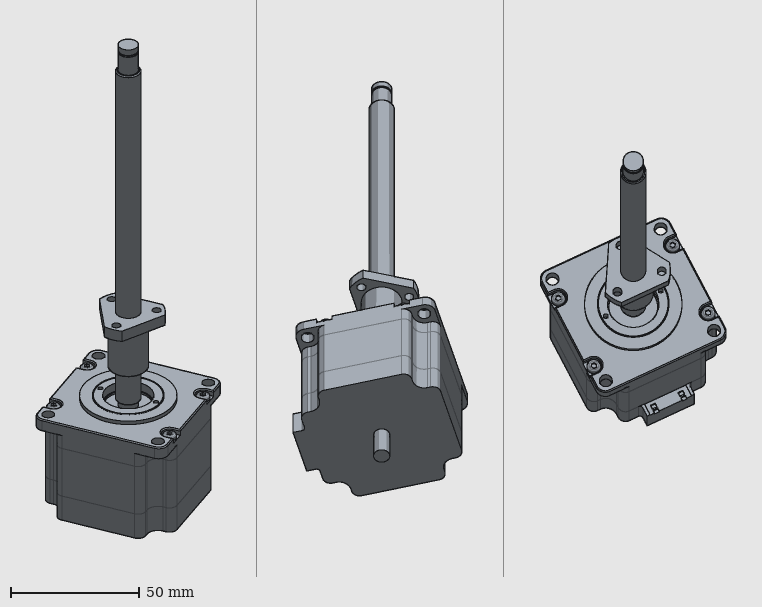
import cadquery as cq
import math

frame_width = 56.2
half_frame = frame_width / 2
rear_cap_height = 11.2
stator_top = 33.2
flange_underside = 39.1
flange_top = 44.2
flange_corner_radius = 4.0
flange_chamfer = 0.5
boss_diameter = 38.1
boss_height = 1.6
boss_top = flange_top + boss_height
cut_margin = 1.0

mount_pitch = 47.14
mount_offset = mount_pitch / 2
mount_hole_diameter = 5.0
relief_radius = 4.7
relief_wall = mount_offset - relief_radius
relief_edge_radius = 3.2

screw_x = half_frame - relief_edge_radius
screw_y = relief_wall - relief_edge_radius
pocket_width = 6.3
pocket_depth = 2.4
pocket_floor = flange_top - pocket_depth
head_diameter = 5.5
head_height = 2.0
head_round = 1.0
socket_across_flats = 2.0
socket_depth = 1.0
shank_diameter = 3.0
shank_length = 8.0

connector_width = 20.6
connector_end = 33.12
connector_fillet = 1.3
connector_wall = 1.3
connector_overlap = 1.0
connector_recess_depth = 0.5
latch_offset = 6.0
latch_width = 2.0
latch_start = 29.5
latch_bar_start = 31.2
latch_bar_end = 31.8
latch_depth = 1.0

ring_diameter = 28.0
ring_bore = 20.0
ring_thickness = 3.7
ring_chamfer = 0.4
ring_floor = boss_top - ring_thickness
spanner_hole_offset = 11.95
spanner_hole_diameter = 1.9
bearing_bore = 19.0
bearing_depth = 0.8
bearing_floor = ring_floor - bearing_depth

thread_diameter = 10.0
thread_start = 44.0
thread_end = 196.1
thread_chamfer = 0.5
shaft_diameter = 6.35
shaft_end = -12.6
journal_diameter = 8.0
screw_length = 220.4
groove_diameter = 7.6
groove_width = 0.7
groove_setback = 3.4
journal_end = shaft_end + screw_length
groove_start = journal_end - groove_setback

nut_diameter = 16.0
nut_bottom = 59.0
nut_flange_bottom = 79.6
nut_flange_top = 84.4
nut_chamfer = 0.5
nut_flange_inradius = 10.3
nut_flange_radius = 14.5
nut_hole_circle_radius = 11.15
nut_hole_diameter = 3.5


def cylinder(diameter, bottom, top):
    return cq.Workplane("XY").workplane(offset=bottom).circle(diameter / 2).extrude(top - bottom)


def box(x_range, y_range, z_range):
    (x0, x1), (y0, y1), (z0, z1) = x_range, y_range, z_range
    return cq.Workplane("XY").box(x1 - x0, y1 - y0, z1 - z0, centered=False).translate((x0, y0, z0))


def corner_relief(x_side, y_side):
    """Outward corner region removed below the flange, with a rounded inner corner."""
    reach = half_frame + cut_margin - relief_wall
    middle = relief_wall + reach / 2
    block = cq.Workplane("XY").center(x_side * middle, y_side * middle).rect(reach, reach)
    block = block.extrude(flange_underside)
    inner_edge = cq.selectors.NearestToPointSelector(
        (x_side * relief_wall, y_side * relief_wall, flange_underside / 2)
    )
    return block.edges(inner_edge).fillet(relief_radius)


def lies_on_side_face(edge):
    center = edge.Center()
    return math.isclose(max(abs(center.x), abs(center.y)), half_frame, abs_tol=0.01)


def relieved_column():
    """Square column with a relief at each corner and rounded edges beside the reliefs."""
    column = cq.Workplane("XY").rect(frame_width, frame_width).extrude(flange_underside)
    for x_side in (-1, 1):
        for y_side in (-1, 1):
            column = column.cut(corner_relief(x_side, y_side))
    outer_edges = column.edges("|Z").filter(lies_on_side_face)
    return outer_edges.fillet(relief_edge_radius)


def screw_pocket(x_side, y_side):
    """Round-ended pocket that runs out through the side of the flange."""
    run_out = half_frame + cut_margin - screw_x
    slot = box((0, run_out), (-pocket_width / 2, pocket_width / 2), (0, pocket_depth))
    slot = slot.union(cylinder(pocket_width, 0, pocket_depth))
    if x_side < 0:
        slot = slot.mirror("YZ")
    return slot.translate((x_side * screw_x, y_side * screw_y, pocket_floor))


def flange():
    plate = (
        cq.Workplane("XY").workplane(offset=flange_underside)
        .rect(frame_width, frame_width).extrude(flange_top - flange_underside)
        .edges("|Z").fillet(flange_corner_radius)
    )
    for x, y in screw_places:
        plate = plate.cut(screw_pocket(math.copysign(1, x), math.copysign(1, y)))
    plate = plate.faces(">Z").edges().chamfer(flange_chamfer)
    mounts = (
        cq.Workplane("XY").workplane(offset=flange_underside)
        .rect(mount_pitch, mount_pitch, forConstruction=True).vertices()
        .circle(mount_hole_diameter / 2).extrude(flange_top - flange_underside)
    )
    return plate.cut(mounts)


def connector():
    half_width = connector_width / 2
    foot = half_width + connector_fillet
    fillet_end = half_frame + connector_fillet
    inside = half_frame - connector_overlap
    middle = connector_fillet * (1 - math.sqrt(0.5))
    shell = (
        cq.Workplane("XY")
        .moveTo(-foot, inside)
        .lineTo(-foot, half_frame)
        .threePointArc((-half_width - middle, half_frame + middle), (-half_width, fillet_end))
        .lineTo(-half_width, connector_end)
        .lineTo(half_width, connector_end)
        .lineTo(half_width, fillet_end)
        .threePointArc((half_width + middle, half_frame + middle), (foot, half_frame))
        .lineTo(foot, inside)
        .close()
        .extrude(rear_cap_height)
    )
    recess_half = half_width - connector_wall
    recess_floor = rear_cap_height - connector_recess_depth
    shell = shell.cut(
        box((-recess_half, recess_half), (half_frame, connector_end), (recess_floor, rear_cap_height))
    )
    for side in (-1, 1):
        x_range = (side * latch_offset - latch_width / 2, side * latch_offset + latch_width / 2)
        for y_range in ((latch_start, latch_bar_start), (latch_bar_end, connector_end)):
            shell = shell.cut(box(x_range, y_range, (recess_floor - latch_depth, recess_floor)))
    return shell


def cap_screw(x, y):
    head = cylinder(head_diameter, 0, head_height).faces(">Z").edges().fillet(head_round)
    socket = (
        cq.Workplane("XY").workplane(offset=head_height - socket_depth)
        .polygon(6, socket_across_flats / math.cos(math.pi / 6)).extrude(socket_depth)
    )
    shank = cylinder(shank_diameter, -shank_length, 0)
    return head.cut(socket).union(shank).translate((x, y, pocket_floor))


def make_motor():
    column = relieved_column()
    across = (-half_frame, half_frame)
    rear_cap = column.intersect(box(across, across, (0, rear_cap_height))).union(connector())
    stator = column.intersect(box(across, across, (rear_cap_height, stator_top)))
    front_cap = column.intersect(box(across, across, (stator_top, flange_underside))).union(flange())
    front_cap = front_cap.union(cylinder(boss_diameter, flange_top, boss_top))
    front_cap = front_cap.cut(cylinder(ring_diameter, ring_floor, boss_top))
    front_cap = front_cap.cut(cylinder(bearing_bore, bearing_floor, ring_floor))
    for x, y in screw_places:
        hole = cylinder(shank_diameter, pocket_floor - shank_length, pocket_floor)
        front_cap = front_cap.cut(hole.translate((x, y, 0)))
    shaft_hole = cylinder(shaft_diameter, 0, boss_top)
    body = rear_cap.cut(shaft_hole)
    body = body.union(stator.cut(shaft_hole), clean=False)
    return body.union(front_cap.cut(shaft_hole), clean=False)


def make_retaining_ring():
    ring = cylinder(ring_diameter, ring_floor, boss_top).faces(">Z").edges().chamfer(ring_chamfer)
    ring = ring.cut(cylinder(ring_bore, ring_floor, boss_top))
    for side in (-1, 1):
        hole = cylinder(spanner_hole_diameter, ring_floor, boss_top)
        ring = ring.cut(hole.translate((side * spanner_hole_offset, 0, 0)))
    return ring


def make_lead_screw():
    shaft = cylinder(shaft_diameter, shaft_end, bearing_floor)
    thread = cylinder(thread_diameter, thread_start, thread_end).edges().chamfer(thread_chamfer)
    journal = cylinder(journal_diameter, thread_end, journal_end)
    groove_end = groove_start + groove_width
    groove = cylinder(journal_diameter, groove_start, groove_end)
    groove = groove.cut(cylinder(groove_diameter, groove_start, groove_end))
    rear_journal = cylinder(journal_diameter, bearing_floor, thread_start)
    return shaft.union(rear_journal).union(thread).union(journal.cut(groove))


def make_nut():
    barrel = cylinder(nut_diameter, nut_bottom, nut_flange_bottom)
    barrel = barrel.faces("<Z").edges().chamfer(nut_chamfer)
    triangle = (
        cq.Workplane("XY").workplane(offset=nut_flange_bottom)
        .polygon(3, 4 * nut_flange_inradius).extrude(nut_flange_top - nut_flange_bottom)
        .rotate((0, 0, 0), (0, 0, 1), -90)
    )
    nut_flange = triangle.intersect(cylinder(2 * nut_flange_radius, nut_flange_bottom, nut_flange_top))
    flanged_nut = barrel.union(nut_flange)
    for angle in (-90, 30, 150):
        hole = cylinder(nut_hole_diameter, nut_flange_bottom, nut_flange_top)
        hole = hole.translate((nut_hole_circle_radius, 0, 0))
        flanged_nut = flanged_nut.cut(hole.rotate((0, 0, 0), (0, 0, 1), angle))
    return flanged_nut.cut(cylinder(thread_diameter, nut_bottom, nut_flange_top))


screw_places = [(x * screw_x, y * screw_y) for x in (-1, 1) for y in (-1, 1)]

motor = make_motor()
retaining_ring = make_retaining_ring()
lead_screw = make_lead_screw()
nut = make_nut()
cap_screws = [cap_screw(x, y) for x, y in screw_places]

result = cq.Compound.makeCompound(
    [motor.val(), retaining_ring.val(), lead_screw.val(), nut.val()]
    + [screw.val() for screw in cap_screws]
)